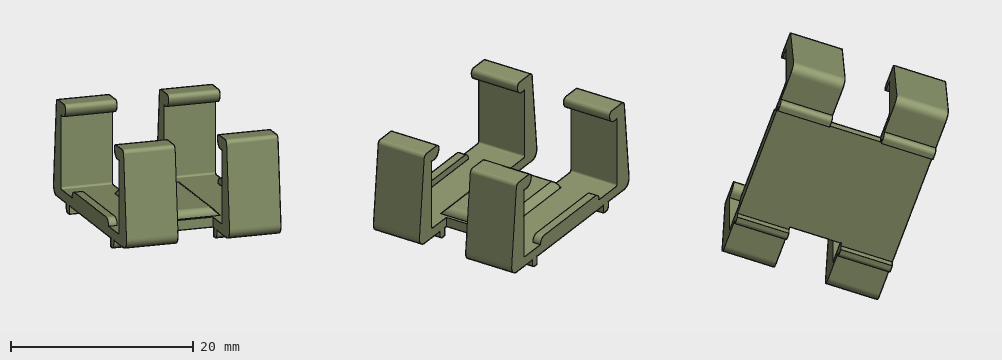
import cadquery as cq

half_length = 12.0
width = 18.0
foot_height = 1.0
top_z = 12.1

floor_thickness = 1.15
floor_z = foot_height + floor_thickness
slot_width = 6.0
web_half_length = 6.5

arm_inner_x = 9.5
shoulder_x = 11.05
heel_radius = 1.0
shoulder_radius = 0.5
inner_corner_radius = 0.25

hook_tip_x = 8.0
hook_nose_radius = 0.5
hook_under_radius = 1.0

foot_inner_x = 6.8
foot_thickness = 1.0
foot_outer_x = foot_inner_x + foot_thickness
foot_radius = 0.5

raised_length = 12.0
raised_offset_x = 0.12
raised_height = 0.83
pad_width = 8.0
rib_width = 1.0


def extrude_along_y(profile, depth):
    """Extrude an XZ profile symmetrically about the XZ plane."""
    return profile.extrude(depth / 2, both=True)


def make_floor():
    """Flat floor between the inner faces of the arms."""
    return cq.Workplane("XY").box(
        2 * arm_inner_x, width, floor_thickness, centered=(True, True, False)
    ).translate((0, 0, foot_height))


def make_arm():
    """Tapered +X arm with its rounded heel, shoulder and hook."""
    nose_z = top_z - hook_nose_radius
    hook_under_z = nose_z - hook_under_radius
    corner_x = arm_inner_x - inner_corner_radius
    profile = (
        cq.Workplane("XZ")
        .moveTo(corner_x, foot_height)
        .lineTo(half_length - heel_radius, foot_height)
        .radiusArc((half_length, foot_height + heel_radius), -heel_radius)
        .lineTo(half_length, floor_z)
        .lineTo(shoulder_x, top_z - shoulder_radius)
        .radiusArc((shoulder_x - shoulder_radius, top_z), -shoulder_radius)
        .lineTo(hook_tip_x + hook_nose_radius, top_z)
        .radiusArc((hook_tip_x, nose_z), -hook_nose_radius)
        .radiusArc((hook_tip_x + hook_under_radius, hook_under_z), -hook_under_radius)
        .lineTo(arm_inner_x, hook_under_z)
        .lineTo(arm_inner_x, floor_z + inner_corner_radius)
        .radiusArc((corner_x, floor_z), inner_corner_radius)
        .close()
    )
    return extrude_along_y(profile, width)


def make_foot():
    """Rail below the floor, rounded along its outer bottom edge."""
    profile = (
        cq.Workplane("XZ")
        .moveTo(foot_inner_x, floor_z)
        .lineTo(foot_inner_x, 0)
        .lineTo(foot_outer_x - foot_radius, 0)
        .radiusArc((foot_outer_x, foot_radius), -foot_radius)
        .lineTo(foot_outer_x, floor_z)
        .close()
    )
    return extrude_along_y(profile, width)


def make_raised_bar(depth):
    """Bar standing on the floor, with quarter-round ends along X."""
    half = raised_length / 2
    raised_z = floor_z + raised_height
    profile = (
        cq.Workplane("XZ")
        .moveTo(-half, foot_height)
        .lineTo(-half, floor_z)
        .radiusArc((-half + raised_height, raised_z), raised_height)
        .lineTo(half - raised_height, raised_z)
        .radiusArc((half, floor_z), raised_height)
        .lineTo(half, foot_height)
        .close()
    )
    return extrude_along_y(profile, depth).translate((raised_offset_x, 0, 0))


def make_pad():
    """Central pad: a raised bar whose long sides slope in at 45 degrees."""
    half = pad_width / 2
    raised_z = floor_z + raised_height
    side_envelope = (
        cq.Workplane("YZ")
        .polyline([
            (-half, foot_height),
            (half, foot_height),
            (half, floor_z),
            (half - raised_height, raised_z),
            (-half + raised_height, raised_z),
            (-half, floor_z),
        ])
        .close()
        .extrude(half_length, both=True)
    )
    return make_raised_bar(pad_width).intersect(side_envelope)


def make_slot():
    """Full-height cutter that splits the +X arm and foot in two."""
    return cq.Workplane("XY").box(
        half_length, slot_width, top_z, centered=(False, True, False)
    ).translate((web_half_length, 0, 0))


body = make_floor()
for feature in (make_arm(), make_foot()):
    body = body.union(feature).union(feature.mirror("YZ"))

slot = make_slot()
body = body.cut(slot).cut(slot.mirror("YZ"))

rib_y = (width - rib_width) / 2
for side in (-1, 1):
    body = body.union(make_raised_bar(rib_width).translate((0, side * rib_y, 0)))

result = body.union(make_pad()).clean()